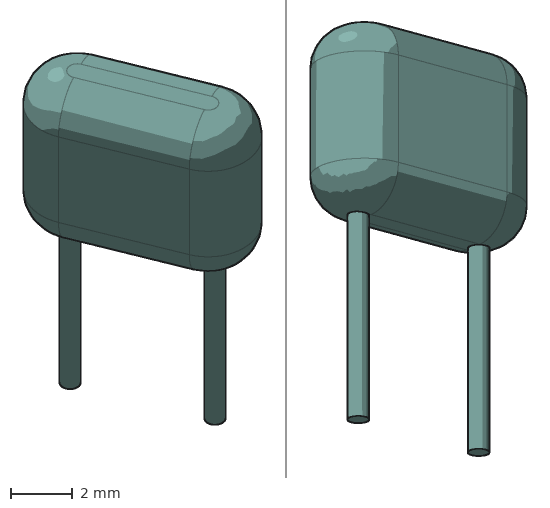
import cadquery as cq

total_height = 13.5
body_length = 8.0
body_thickness = 3.5
body_height = 6.5
edge_radius = 1.4
lead_diameter = 0.7
lead_spacing = 5.0

lead_length = total_height - body_height
lead_embedment = edge_radius


def make_body():
    """Upright capsule-shaped block with rounded top and bottom edges, base at Z = 0."""
    block = cq.Workplane("XY").slot2D(body_length, body_thickness).extrude(body_height)
    return block.faces("<Z or >Z").edges().fillet(edge_radius)


def make_leads():
    """Two round leads hanging below the body, symmetric about the YZ plane."""
    return (
        cq.Workplane("XY", origin=(0, 0, -lead_length))
        .pushPoints([(-lead_spacing / 2, 0), (lead_spacing / 2, 0)])
        .circle(lead_diameter / 2)
        .extrude(lead_length + lead_embedment)
    )


result = make_body().union(make_leads())